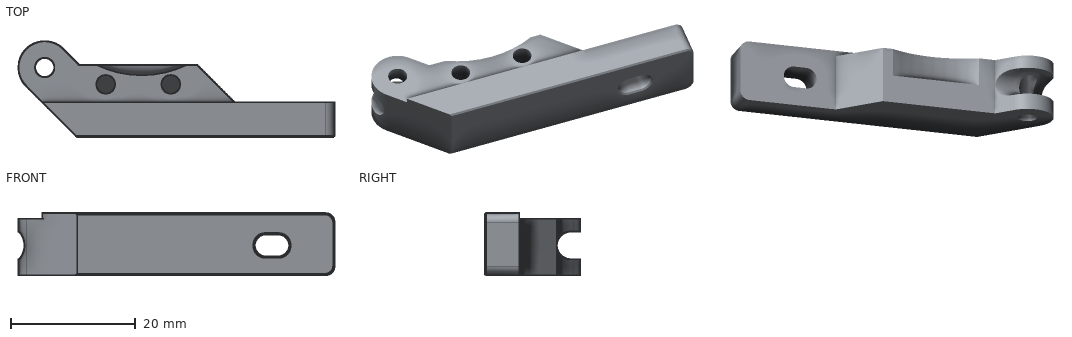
import cadquery as cq
import math

LENGTH = 50.69
WIDTH = 15.39
HEIGHT = 10.0

EYE_RADIUS = 4.22
ARM_WIDTH = 5.6
FLANGE_BACK_Y = 11.6
FLANGE_TOP_Z = 9.1
FLANGE_END_X = 28.65

PIN_DIAMETER = 3.05
CLEVIS_GAP = 4.4
CLEVIS_MID_Z = 4.8
SWING_ANGLE = 45.0
CLEVIS_BLEND_RADIUS = 6.0

BLIND_HOLE_DIAMETER = 3.0
BLIND_HOLE_XS = (14.0, 24.43)
BLIND_HOLE_Y = 8.47
HALF_FLANGE_Z = FLANGE_TOP_Z / 2
RECESS_MID_X = 19.75
RECESS_RADIUS = 16.4
RECESS_DEEPEST_Y = 9.92

END_RADIUS = 1.5
FRONT_CHAMFER = 0.25
SLOT_MID_X = 40.65
SLOT_MID_Z = 4.8
SLOT_LENGTH = 5.5
SLOT_WIDTH = 3.5

EYE_X = EYE_RADIUS
EYE_Y = WIDTH - EYE_RADIUS
DIAGONAL_REACH = EYE_RADIUS * math.sqrt(2)
LOWER_FLANK_SUM = EYE_X + EYE_Y - DIAGONAL_REACH
UPPER_FLANK_SUM = EYE_X + EYE_Y + DIAGONAL_REACH
FLANK_OFFSET = EYE_RADIUS / math.sqrt(2)
CLEVIS_FLOOR_OFFSET = FLANGE_BACK_Y - EYE_Y
CLEVIS_REACH = UPPER_FLANK_SUM - FLANGE_BACK_Y - EYE_X


def make_arm():
    """Straight bar with a slanted left end and a rounded right end."""
    arm = (
        cq.Workplane("XY")
        .moveTo(LOWER_FLANK_SUM, 0)
        .lineTo(LENGTH, 0)
        .lineTo(LENGTH, ARM_WIDTH)
        .lineTo(LOWER_FLANK_SUM - ARM_WIDTH, ARM_WIDTH)
        .close()
        .extrude(HEIGHT)
    )
    arm = arm.edges("|Y and >X").fillet(END_RADIUS)
    return arm.faces("<Y").edges("not <X").chamfer(FRONT_CHAMFER)


def make_flange():
    """Lower plate behind the arm, ending in the hinge eye."""
    flange_end_front_x = FLANGE_END_X + FLANGE_BACK_Y - ARM_WIDTH
    return (
        cq.Workplane("XY")
        .moveTo(LOWER_FLANK_SUM - ARM_WIDTH, ARM_WIDTH)
        .lineTo(flange_end_front_x, ARM_WIDTH)
        .lineTo(FLANGE_END_X, FLANGE_BACK_Y)
        .lineTo(UPPER_FLANK_SUM - FLANGE_BACK_Y, FLANGE_BACK_Y)
        .lineTo(EYE_X + FLANK_OFFSET, EYE_Y + FLANK_OFFSET)
        .threePointArc(
            (EYE_X - FLANK_OFFSET, EYE_Y + FLANK_OFFSET),
            (EYE_X - FLANK_OFFSET, EYE_Y - FLANK_OFFSET),
        )
        .close()
        .extrude(FLANGE_TOP_Z)
    )


def vertical_cylinder(diameter, x, y, bottom_z):
    """Cutter rising from bottom_z to the top of the flange."""
    return (
        cq.Workplane("XY", origin=(x, y, bottom_z))
        .circle(diameter / 2)
        .extrude(FLANGE_TOP_Z - bottom_z)
    )


def make_clevis_slot(angle):
    """Slot with a round floor, running at the given angle to X past the pin."""
    round_radius = CLEVIS_GAP / 2
    round_center_y = CLEVIS_FLOOR_OFFSET + round_radius
    open_depth = 2 * EYE_RADIUS
    slot = (
        cq.Workplane("YZ", origin=(-CLEVIS_REACH, 0, 0))
        .moveTo(open_depth, -round_radius)
        .lineTo(round_center_y, -round_radius)
        .threePointArc((CLEVIS_FLOOR_OFFSET, 0), (round_center_y, round_radius))
        .lineTo(open_depth, round_radius)
        .close()
        .extrude(2 * CLEVIS_REACH)
    )
    return slot.rotate((0, 0, 0), (0, 0, 1), angle).translate((EYE_X, EYE_Y, CLEVIS_MID_Z))


def make_clevis_gap():
    """Two slots for the two hinge positions, blended where their floors cross."""
    gap = make_clevis_slot(0).union(make_clevis_slot(SWING_ANGLE))
    return gap.edges("%ELLIPSE").fillet(CLEVIS_BLEND_RADIUS)


def make_back_recess():
    """Shallow arc cut into the back edge of the flange, over its upper half."""
    recess_center_y = RECESS_DEEPEST_Y + RECESS_RADIUS
    return vertical_cylinder(2 * RECESS_RADIUS, RECESS_MID_X, recess_center_y, HALF_FLANGE_Z)


def make_arm_slot():
    """Oblong hole through the arm, with its front rim chamfered."""
    slot = (
        cq.Workplane("XZ", origin=(SLOT_MID_X, 0, SLOT_MID_Z))
        .slot2D(SLOT_LENGTH, SLOT_WIDTH)
        .extrude(-ARM_WIDTH)
    )
    rim = (
        cq.Workplane("XZ", origin=(SLOT_MID_X, 0, SLOT_MID_Z))
        .slot2D(SLOT_LENGTH + 2 * FRONT_CHAMFER, SLOT_WIDTH + 2 * FRONT_CHAMFER)
        .extrude(-FRONT_CHAMFER, taper=45)
    )
    return slot.union(rim)


result = make_arm().union(make_flange())
result = result.cut(make_clevis_gap())
result = result.cut(vertical_cylinder(PIN_DIAMETER, EYE_X, EYE_Y, 0))
result = result.cut(make_back_recess())
for hole_x in BLIND_HOLE_XS:
    result = result.cut(vertical_cylinder(BLIND_HOLE_DIAMETER, hole_x, BLIND_HOLE_Y, HALF_FLANGE_Z))
result = result.cut(make_arm_slot())